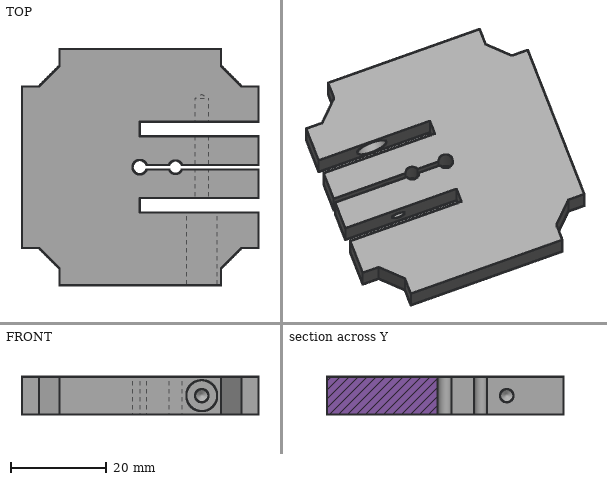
import cadquery as cq
import math

side = 49.8
thickness = 8.0
half_side = side / 2

notch = 7.85
notch_ledge = 3.6

slot_length = 25.0
slot_start_x = half_side - slot_length
slot_width = 3.0
finger_outer_y = 6.5
slit_width = 0.9
slit_end_diameter = 3.0
grip_hole_spacing = 7.5
grip_hole_x = slot_start_x + grip_hole_spacing
grip_hole_diameter = 2.8

screw_x = 12.95
head_diameter = 6.5
screw_diameter = 2.8
screw_depth_past_slot = 5.0
drill_point_angle = 118.0

slot_outer_y = finger_outer_y + slot_width


def corner_cutter(sign_x, sign_y):
    """Prism that removes one corner of the plate."""
    outline = [
        (half_side, half_side),
        (half_side - notch, half_side),
        (half_side - notch, half_side - notch_ledge),
        (half_side - notch_ledge, half_side - notch),
        (half_side, half_side - notch),
    ]
    points = [(sign_x * x, sign_y * y) for x, y in outline]
    return cq.Workplane("XY").workplane(offset=-thickness / 2).polyline(points).close().extrude(thickness)


def slot_cutter(center_y, width):
    """Full-depth slot open at the +X side."""
    return cq.Workplane("XY").box(slot_length, width, thickness, centered=(False, True, True)).translate(
        (slot_start_x, center_y, 0)
    )


def vertical_hole(x, diameter):
    """Through hole on the slit center line."""
    return cq.Workplane("XY").center(x, 0).circle(diameter / 2).extrude(thickness, both=True)


def screw_cutter():
    """Head bore through the -Y block, then a blind screw hole with a drill point."""
    head_radius = head_diameter / 2
    screw_radius = screw_diameter / 2
    hole_end_y = slot_outer_y + screw_depth_past_slot
    point_length = screw_radius / math.tan(math.radians(drill_point_angle / 2))
    profile = [
        (0, -half_side),
        (head_radius, -half_side),
        (head_radius, -finger_outer_y),
        (screw_radius, -finger_outer_y),
        (screw_radius, hole_end_y),
        (0, hole_end_y + point_length),
    ]
    bore = cq.Workplane("XY").polyline(profile).close().revolve(360, (0, 0, 0), (0, 1, 0))
    return bore.translate((screw_x, 0, 0))


result = cq.Workplane("XY").box(side, side, thickness)

for sign_x in (-1, 1):
    for sign_y in (-1, 1):
        result = result.cut(corner_cutter(sign_x, sign_y))

slot_center_y = finger_outer_y + slot_width / 2
for center_y in (-slot_center_y, slot_center_y):
    result = result.cut(slot_cutter(center_y, slot_width))

result = result.cut(slot_cutter(0, slit_width))
result = result.cut(vertical_hole(slot_start_x, slit_end_diameter))
result = result.cut(vertical_hole(grip_hole_x, grip_hole_diameter))
result = result.cut(screw_cutter())